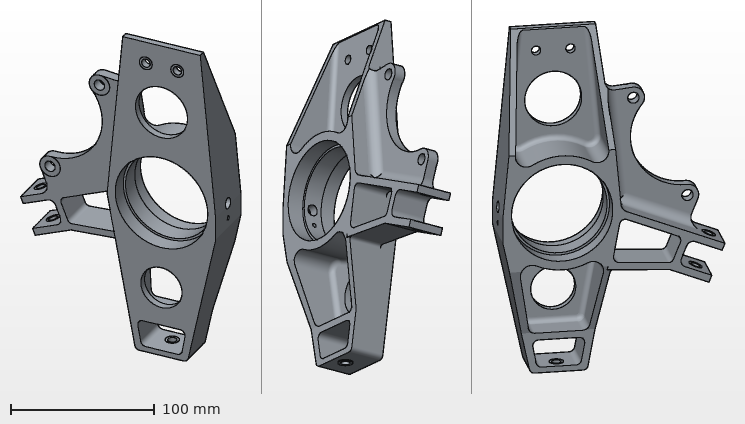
import cadquery as cq
import math

DEPTH = 40.0

TOP_Z = 125.5
BOTTOM_Z = -122.2
TOP_HALF = 30.0
WAIST_HALF = 42.0
WAIST_HIGH_Z = -2.0
WAIST_LOW_Z = -3.7
BOTTOM_HALF = 20.0
SIDE_TILT = math.atan((WAIST_HALF - TOP_HALF) / (TOP_Z - WAIST_HIGH_Z))
BOTTOM_CORNER_R = 3.7
TOP_EDGE_DEPTH = 5.2
UPPER_SLOPE_Z = 44.5
LOWER_SLOPE_Z = -42.0
FOOT_Z = -92.4
FOOT_DEPTH = 27.0

FLAT_LOW_Z = -19.4
SENSOR_HOLE_R = 4.0
SENSOR_SCREW_R = 1.5
SENSOR_SCREW_Z = -11.7

SEAT_R = 35.8
LAND_R = 34.0
SEAT_DEPTH = 12.7

WALL = 4.7
FLOOR = 5.7
HUB_R = 42.2
POCKET_HUB_CORNER_R = 8.0
POCKET_END_CORNER_R = 5.0
POCKET_FLOOR_R = 4.0
LOWER_POCKET_Z = -92.5

UPPER_WINDOW_Z = 72.3
UPPER_WINDOW_R = 20.0
LOWER_WINDOW_Z = -67.8
LOWER_WINDOW_R = 16.0
SLOT_TOP_Z = -97.8
SLOT_BOTTOM_Z = -118.0
SLOT_TOP_HALF = 19.0
SLOT_BOTTOM_HALF = 15.5
SLOT_CORNER_R = 4.0

SCREW_R = 3.2
SPOT_R = 5.0
SPOT_DEPTH = 0.2
TOP_SCREW_X = 12.2
TOP_SCREW_Z = 108.5
FOOT_SCREW_Y = 17.1
FOOT_BOSS_R = 5.2
FOOT_BOSS_HEIGHT = 0.7

BRACKET_FRONT = 12.2
PLATE_BACK = 20.4
EAR_R = 8.0
EAR_HOLE_R = 4.0
EAR_RAISE = 0.2
UPPER_EAR = (-54.0, 74.5)
LOWER_EAR = (-92.0, 0.0)
CALIPER_CENTRE = (-90.0, 46.0)
CALIPER_R = math.dist(CALIPER_CENTRE, LOWER_EAR) - EAR_R
PLATE_FLARE_R = 7.5
RELIEF_FLOOR_R = 7.5
RELIEF_CORNER_R = 7.0

ARM_ANGLE = math.radians(22)
ARM_TIP = -118.0
ARM_HALF = 15.1
FORK_HALF = 9.7
FORK_END = -92.9
FORK_CORNER_R = 4.7
ARM_ROOT_R = 7.5
ARM_SCREW = -108.3
STRUT_ANGLE = math.radians(3.7)
WINDOW_END = -87.6
STRUT_BEND = -88.1
STRUT_THICKNESS = 5.2
STRUT_RISE = STRUT_THICKNESS / math.cos(STRUT_ANGLE)
WINDOW_CORNER_R = 3.7
STRUT_UPPER_FLARE_R = 4.5
STRUT_LOWER_FLARE_R = 2.5

OVERLAP = 2.5


def prism(points, y_start, y_end):
    """Extrude an XZ outline from y_start to y_end."""
    plane = cq.Workplane("XZ", origin=(0, y_start, 0))
    return plane.polyline(points).close().extrude(y_start - y_end)


def disc(radius, centre, y_start, y_end):
    """Cylinder along Y about an XZ centre."""
    plane = cq.Workplane("XZ", origin=(0, y_start, 0))
    return plane.center(*centre).circle(radius).extrude(y_start - y_end)


def rod(radius, start, direction, length):
    """Cylinder from a 3D start point along a direction."""
    return cq.Workplane(cq.Solid.makeCylinder(radius, length, cq.Vector(*start), cq.Vector(*direction)))


def arm_point(along, across):
    """XZ position of a point given along and across the arm."""
    x = along * math.cos(ARM_ANGLE) - across * math.sin(ARM_ANGLE)
    z = along * math.sin(ARM_ANGLE) + across * math.cos(ARM_ANGLE)
    return (x, z)


def arm_point_at_x(x, across):
    """XZ position at a given X on a line parallel to the arm."""
    return arm_point((x + across * math.sin(ARM_ANGLE)) / math.cos(ARM_ANGLE), across)


def round_corner(solid, corner, radius, y):
    """Round the edge along Y that passes nearest to an XZ corner."""
    nearest = cq.selectors.NearestToPointSelector((corner[0], y, corner[1]))
    return solid.edges("|Y").edges(nearest).fillet(radius)


def body_half(z):
    """Half width of the upright at height z."""
    if z > WAIST_HIGH_Z:
        share = (z - WAIST_HIGH_Z) / (TOP_Z - WAIST_HIGH_Z)
        return WAIST_HALF + share * (TOP_HALF - WAIST_HALF)
    share = max(0, WAIST_LOW_Z - z) / (WAIST_LOW_Z - BOTTOM_Z)
    return WAIST_HALF + share * (BOTTOM_HALF - WAIST_HALF)


def mirrored(half_outline):
    """Close a right-hand outline with its mirror image."""
    return half_outline + [(-x, z) for x, z in reversed(half_outline)]


def plate_top_z(x):
    """Height of the plate's top edge, square to the upright's side and tangent to the upper ear."""
    return UPPER_EAR[1] + EAR_R / math.cos(SIDE_TILT) - (x - UPPER_EAR[0]) * math.tan(SIDE_TILT)


def strut_z(x):
    """Height of the underside of the strut."""
    bend_x, bend_z = arm_point(STRUT_BEND, -ARM_HALF)
    return bend_z + (x - bend_x) * math.tan(STRUT_ANGLE)


def upright():
    """Solid upright with its lower rear sloped, before the pockets."""
    outline = [
        (-TOP_HALF, TOP_Z),
        (TOP_HALF, TOP_Z),
        (WAIST_HALF, WAIST_HIGH_Z),
        (WAIST_HALF, FLAT_LOW_Z),
        (BOTTOM_HALF, BOTTOM_Z),
        (-BOTTOM_HALF, BOTTOM_Z),
        (-WAIST_HALF, WAIST_LOW_Z),
        (-WAIST_HALF, WAIST_HIGH_Z),
    ]
    body = prism(outline, 0, DEPTH)
    body = body.edges("|Y").edges("<Z").fillet(BOTTOM_CORNER_R)
    lower_slope = (
        cq.Workplane("YZ", origin=(-WAIST_HALF, 0, 0))
        .moveTo(DEPTH, LOWER_SLOPE_Z)
        .lineTo(FOOT_DEPTH, FOOT_Z)
        .lineTo(FOOT_DEPTH, BOTTOM_Z)
        .lineTo(DEPTH, BOTTOM_Z)
        .close()
        .extrude(2 * WAIST_HALF)
    )
    return body.cut(lower_slope)


def upper_slope():
    """Wedge behind the sloping upper rear face."""
    return (
        cq.Workplane("YZ", origin=(ARM_TIP, 0, 0))
        .moveTo(DEPTH, UPPER_SLOPE_Z)
        .lineTo(TOP_EDGE_DEPTH, TOP_Z)
        .lineTo(DEPTH, TOP_Z)
        .close()
        .extrude(2 * abs(ARM_TIP))
    )


def pocket(outline, hub_side, end_side):
    """Rear pocket that wraps round the hub, with rounded corners and floor."""
    cutter = prism(outline, FLOOR, DEPTH).cut(disc(HUB_R, (0, 0), 0, DEPTH))
    cutter = cutter.edges("|Y").edges(end_side).fillet(POCKET_END_CORNER_R)
    cutter = cutter.edges("|Y").edges(hub_side).fillet(POCKET_HUB_CORNER_R)
    return cutter.faces("<Y").edges().fillet(POCKET_FLOOR_R)


def upper_pocket():
    """Pocket above the hub, running out through the sloping rear face."""
    above_top = TOP_Z + 2 * POCKET_END_CORNER_R
    half_outline = [(body_half(z) - WALL, z) for z in (above_top, 0)]
    return pocket(mirrored(half_outline), "<Z", ">Z")


def lower_pocket():
    """Pocket between the hub and the web above the foot slot."""
    half_outline = [(body_half(z) - WALL, z) for z in (WAIST_LOW_Z, LOWER_POCKET_Z)]
    return pocket(mirrored(half_outline), ">Z", "<Z")


def foot_slot():
    """Tapered slot through the foot."""
    outline = mirrored([(SLOT_TOP_HALF, SLOT_TOP_Z), (SLOT_BOTTOM_HALF, SLOT_BOTTOM_Z)])
    return prism(outline, 0, DEPTH).edges("|Y").fillet(SLOT_CORNER_R)


def bore():
    """Bearing bore with a seat counterbored at each end."""
    land = disc(LAND_R, (0, 0), 0, DEPTH)
    front_seat = disc(SEAT_R, (0, 0), 0, SEAT_DEPTH)
    rear_seat = disc(SEAT_R, (0, 0), DEPTH - SEAT_DEPTH, DEPTH)
    return land.union(front_seat).union(rear_seat)


def screw_hole(start, direction, length):
    """Through hole with a shallow spot face at its start."""
    return rod(SCREW_R, start, direction, length).union(rod(SPOT_R, start, direction, SPOT_DEPTH))


def ear_plate():
    """Plate with the ears and caliper clearance, and the corner where it meets the arm."""
    tangent = (LOWER_EAR[0] - EAR_R * math.cos(ARM_ANGLE), LOWER_EAR[1] - EAR_R * math.sin(ARM_ANGLE))
    ear_along = LOWER_EAR[0] * math.cos(ARM_ANGLE) + LOWER_EAR[1] * math.sin(ARM_ANGLE)
    root = arm_point(ear_along - EAR_R, ARM_HALF)
    plate_inner_x = OVERLAP - body_half(UPPER_EAR[1])
    plate = prism(
        [
            tangent,
            LOWER_EAR,
            CALIPER_CENTRE,
            UPPER_EAR,
            (UPPER_EAR[0] + EAR_R * math.sin(SIDE_TILT), UPPER_EAR[1] + EAR_R * math.cos(SIDE_TILT)),
            (plate_inner_x, plate_top_z(plate_inner_x)),
            (OVERLAP - WAIST_HALF, 0),
            root,
        ],
        BRACKET_FRONT,
        DEPTH,
    )
    plate = plate.cut(disc(CALIPER_R, CALIPER_CENTRE, 0, DEPTH))
    for ear in (UPPER_EAR, LOWER_EAR):
        plate = plate.union(disc(EAR_R, ear, BRACKET_FRONT - EAR_RAISE, DEPTH))
    return plate, root


def arm():
    """Forked arm with the strut's underside, before the window."""
    inner_x = OVERLAP - body_half(strut_z(-WAIST_HALF))
    outline = [
        arm_point(ARM_TIP, ARM_HALF),
        arm_point_at_x(OVERLAP - WAIST_HALF, ARM_HALF),
        (inner_x, strut_z(inner_x)),
        arm_point(STRUT_BEND, -ARM_HALF),
        arm_point(ARM_TIP, -ARM_HALF),
    ]
    fork = prism(
        [
            arm_point(2 * ARM_TIP, FORK_HALF),
            arm_point(FORK_END, FORK_HALF),
            arm_point(FORK_END, -FORK_HALF),
            arm_point(2 * ARM_TIP, -FORK_HALF),
        ],
        0,
        DEPTH,
    )
    fork = fork.edges("|Y").fillet(FORK_CORNER_R)
    return prism(outline, BRACKET_FRONT, DEPTH).cut(fork)


def arm_window():
    """Opening between arm, strut and upright, reaching past the upright's side."""
    slope = math.tan(STRUT_ANGLE)
    foot_x, foot_z = arm_point(WINDOW_END, 0)
    across = (strut_z(foot_x) + STRUT_RISE - foot_z) / (math.cos(ARM_ANGLE) + slope * math.sin(ARM_ANGLE))
    outline = [
        arm_point(WINDOW_END, FORK_HALF),
        arm_point(0, FORK_HALF),
        (0, strut_z(0) + STRUT_RISE),
        arm_point(WINDOW_END, across),
    ]
    return prism(outline, 0, DEPTH).edges("|Y").edges("<X or <Z").fillet(WINDOW_CORNER_R)


def bracket():
    """Full-depth bracket: plate, ears, arm and window."""
    plate, root = ear_plate()
    joined = round_corner(plate.union(arm()), root, ARM_ROOT_R, (BRACKET_FRONT + DEPTH) / 2)
    return joined.cut(arm_window())


def relief():
    """Space behind the plate, above the arm and beside the upright."""
    far_x = 2 * ARM_TIP
    corner = arm_point_at_x(-WAIST_HALF, ARM_HALF)
    outline = [
        arm_point_at_x(far_x, ARM_HALF),
        corner,
        (-TOP_HALF, TOP_Z),
        (far_x, TOP_Z),
    ]
    sharp = prism(outline, PLATE_BACK, DEPTH + RELIEF_FLOOR_R)
    rounded = round_corner(sharp, corner, RELIEF_CORNER_R, DEPTH)
    return sharp.faces("<Y").edges().fillet(RELIEF_FLOOR_R).intersect(rounded)


def bracket_flares():
    """Height and radius of each blend between the bracket and the upright's side."""
    strut_x = -body_half(strut_z(-WAIST_HALF))
    return [
        (plate_top_z(-body_half(UPPER_EAR[1])), PLATE_FLARE_R),
        (arm_point_at_x(-WAIST_HALF, FORK_HALF)[1], WINDOW_CORNER_R),
        (strut_z(strut_x) + STRUT_RISE, STRUT_UPPER_FLARE_R),
        (strut_z(strut_x), STRUT_LOWER_FLARE_R),
    ]


bracket_mid_y = (BRACKET_FRONT + DEPTH) / 2

result = upright().union(bracket())
for height, radius in bracket_flares():
    result = round_corner(result, (-body_half(height), height), radius, bracket_mid_y)
for cutter in (relief(), upper_slope(), upper_pocket(), lower_pocket(), foot_slot(), bore()):
    result = result.cut(cutter)

result = result.cut(disc(UPPER_WINDOW_R, (0, UPPER_WINDOW_Z), 0, DEPTH))
result = result.cut(disc(LOWER_WINDOW_R, (0, LOWER_WINDOW_Z), 0, DEPTH))

for screw_x in (-TOP_SCREW_X, TOP_SCREW_X):
    result = result.cut(screw_hole((screw_x, 0, TOP_SCREW_Z), (0, 1, 0), DEPTH))
for ear in (UPPER_EAR, LOWER_EAR):
    result = result.cut(disc(EAR_HOLE_R, ear, 0, DEPTH))

across_arm = (math.sin(ARM_ANGLE), 0, -math.cos(ARM_ANGLE))
for prong_top in (ARM_HALF, -FORK_HALF):
    prong_x, prong_z = arm_point(ARM_SCREW, prong_top)
    result = result.cut(screw_hole((prong_x, bracket_mid_y, prong_z), across_arm, ARM_HALF - FORK_HALF))

foot_screw = (0, FOOT_SCREW_Y, SLOT_BOTTOM_Z)
foot_length = SLOT_BOTTOM_Z - BOTTOM_Z + FOOT_BOSS_HEIGHT
result = result.union(rod(FOOT_BOSS_R, foot_screw, (0, 0, -1), foot_length))
result = result.cut(screw_hole(foot_screw, (0, 0, -1), foot_length))

for hole_r, hole_z in ((SENSOR_HOLE_R, 0), (SENSOR_SCREW_R, SENSOR_SCREW_Z)):
    result = result.cut(rod(hole_r, (0, DEPTH / 2, hole_z), (1, 0, 0), 2 * WAIST_HALF))